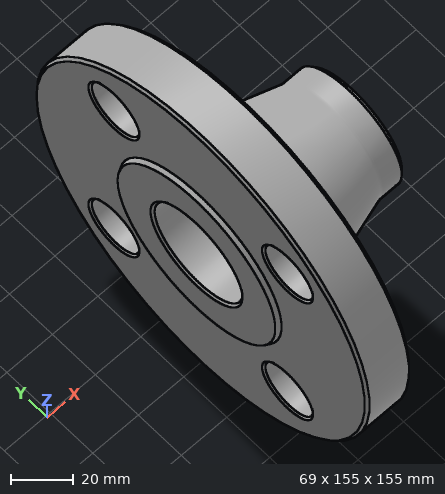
import cadquery as cq
import math


total_length = 69.0
face_height = 1.9
flange_thickness = 19.5
hub_fillet_length = 3.5
neck_length = 9.6
neck_blend_length = 1.2

flange_diameter = 155
face_diameter = 73.5
hub_fillet_diameter = 72.8
hub_diameter = 68.2
neck_diameter = 48.4
bore_diameter = 40.9

bolt_count = 4
bolt_hole_diameter = 22.2
bolt_circle_diameter = 114.2

face_flare = 1.0
flange_chamfer = 1.1
weld_bevel = 1.5
bore_chamfer = 1.0
bolt_hole_chamfer = 0.8

flange_back = face_height + flange_thickness
cone_start = flange_back + hub_fillet_length
neck_start = total_length - neck_length
cone_end = neck_start - neck_blend_length

neck_radius = neck_diameter / 2
hub_radius = hub_diameter / 2
mean_angle = math.atan((hub_radius - neck_radius) / (neck_start - cone_start))
cone_end_radius = neck_radius + neck_blend_length * math.tan(mean_angle / 2)


def revolved_body():
    """Solid of revolution, with no bore or bolt holes."""
    face_radius = face_diameter / 2
    flange_radius = flange_diameter / 2
    cone_slope = (cone_end_radius - hub_radius) / (cone_end - cone_start)
    profile = (
        cq.Workplane("XY")
        .moveTo(0, 0)
        .lineTo(0, face_radius)
        .lineTo(face_height, face_radius + face_flare)
        .lineTo(face_height, flange_radius - flange_chamfer)
        .lineTo(face_height + flange_chamfer, flange_radius)
        .lineTo(flange_back - flange_chamfer, flange_radius)
        .lineTo(flange_back, flange_radius - flange_chamfer)
        .lineTo(flange_back, hub_fillet_diameter / 2)
        .threePointArc(hub_fillet_midpoint(cone_slope), (cone_start, hub_radius))
        .lineTo(cone_end, cone_end_radius)
        .tangentArcPoint((neck_start, neck_radius), relative=False)
        .lineTo(total_length - weld_bevel, neck_radius)
        .lineTo(total_length, neck_radius - weld_bevel)
        .lineTo(total_length, 0)
        .close()
    )
    return profile.revolve(360, (0, 0, 0), (1, 0, 0))


def hub_fillet_midpoint(cone_slope):
    """Midpoint of the arc that starts on the flange back and ends tangent to the hub cone."""
    run = hub_fillet_length
    rise = hub_radius - hub_fillet_diameter / 2
    chord = math.hypot(run, rise)
    half_turn = math.atan(cone_slope) - math.atan2(rise, run)
    sagitta = chord / 2 * math.tan(half_turn / 2)
    middle_x = flange_back + run / 2 + sagitta * rise / chord
    middle_radius = hub_radius - rise / 2 - sagitta * run / chord
    return middle_x, middle_radius


def chamfered_hole(diameter, chamfer, start, length):
    """Cutter on the X axis: a through hole with a chamfered mouth at X = start."""
    radius = diameter / 2
    return (
        cq.Workplane("XY")
        .moveTo(start, 0)
        .lineTo(start, radius + chamfer)
        .lineTo(start + chamfer, radius)
        .lineTo(start + length, radius)
        .lineTo(start + length, 0)
        .close()
        .revolve(360, (0, 0, 0), (1, 0, 0))
    )


result = revolved_body().cut(chamfered_hole(bore_diameter, bore_chamfer, 0, total_length))

bolt_hole = chamfered_hole(bolt_hole_diameter, bolt_hole_chamfer, face_height, flange_thickness)
for index in range(bolt_count):
    angle = (index + 0.5) * 360 / bolt_count
    placed_hole = bolt_hole.translate((0, bolt_circle_diameter / 2, 0)).rotate((0, 0, 0), (1, 0, 0), angle)
    result = result.cut(placed_hole)